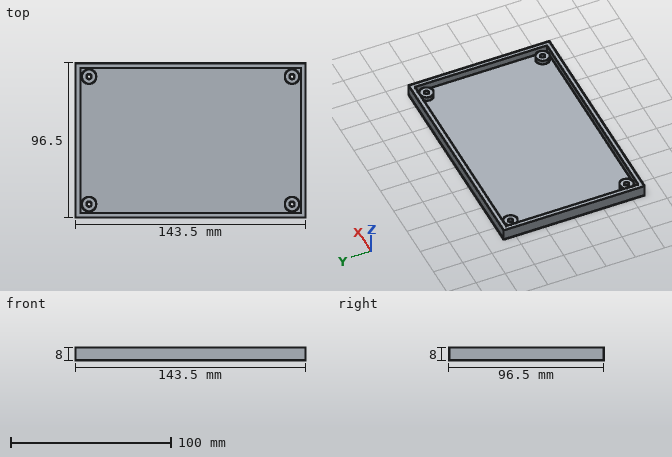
import cadquery as cq

length = 143.5
width = 96.5
height = 8.0
wall = 3.0
floor = 3.0

boss_diameter = 9.0
boss_height = 3.0
hole_diameter = 3.0
boss_inset = 8.5

boss_spacing_x = length - 2 * boss_inset
boss_spacing_y = width - 2 * boss_inset


def make_tray():
    """Rectangular tray, open at the top, with its underside at Z = 0."""
    block = cq.Workplane("XY").box(length, width, height, centered=(True, True, False))
    pocket = (
        cq.Workplane("XY")
        .workplane(offset=floor)
        .rect(length - 2 * wall, width - 2 * wall)
        .extrude(height - floor)
    )
    return block.cut(pocket)


def corner_cylinders(diameter, bottom, top):
    """Four upright cylinders on the standoff axes."""
    return (
        cq.Workplane("XY")
        .workplane(offset=bottom)
        .rect(boss_spacing_x, boss_spacing_y, forConstruction=True)
        .vertices()
        .circle(diameter / 2)
        .extrude(top - bottom)
    )


boss_top = floor + boss_height
bosses = corner_cylinders(boss_diameter, 0, boss_top)
through_holes = corner_cylinders(hole_diameter, 0, boss_top)

result = make_tray().union(bosses).cut(through_holes)